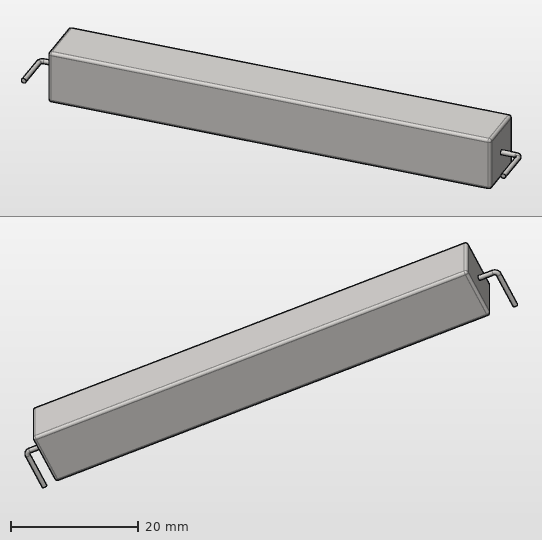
import cadquery as cq

overall_length = 82.1
overall_depth = 11.5

body_length = 75.0
body_side = 9.0
edge_radius = 0.5

wire_diameter = 0.8
bend_radius = 0.65

lead_x = (overall_length - wire_diameter) / 2
lead_tip_y = body_side / 2 - overall_depth


def make_body():
    """Long square bar with every edge rounded."""
    return cq.Workplane("XY").box(body_length, body_side, body_side).edges().fillet(edge_radius)


def make_lead(side):
    """Wire leaving an end face at its centre and bent towards -Y; side is -1 or +1 along X."""
    root_x = side * (body_length / 2 - wire_diameter)
    bend_start = (side * (lead_x - bend_radius), 0)
    bend_end = (side * lead_x, -bend_radius)
    path = (
        cq.Workplane("XY")
        .moveTo(root_x, 0)
        .lineTo(*bend_start)
        .tangentArcPoint(bend_end, relative=False)
        .lineTo(side * lead_x, lead_tip_y)
    )
    section = cq.Workplane("YZ", origin=(root_x, 0, 0)).circle(wire_diameter / 2)
    return section.sweep(path)


result = make_body()
for side in (-1, 1):
    result = result.union(make_lead(side))